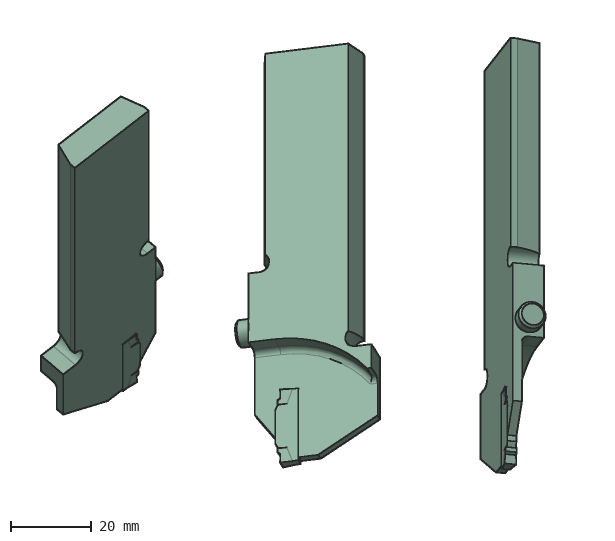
import cadquery as cq
import math

holder_thick = 8.0
total_height = 110.8
foot_depth = 31.7
foot_front_top = 26.9
foot_back_top = 50.6
foot_bottom = 1.0
front_slope_top = 9.9
front_slope_end = 15.3
back_slope_top = 14.3
back_slope_end = 21.9

shank_front = 4.0
shank_back = 29.4
flank_inset = 2.0
flank_width = 6.3

relief_radius = 2.5
front_relief_y = 4.2
back_relief_y = 28.9

blade_thick = 2.3
blade_face = holder_thick - blade_thick
shoulder_top = 31.6
shoulder_radius = 31.0
shoulder_tangent_y = 25.0
shoulder_front_z = 20.4
shoulder_fillet = 1.5

screw_diameter = 7.0
screw_end = 35.5
screw_x = 3.9
screw_z = 36.1
screw_chamfer = 0.7
screw_embed = 1.1

insert_height = 20.3
insert_front = 20.4
insert_tip = 25.0
insert_step = 25.7
insert_back = 26.4
tip_relief = 0.2
tip_land = 2.4
step_start = 3.0
head_height = 4.1
body_start = 5.5
head_inner_y = 23.4
head_outer_y = 21.9
insert_x = blade_face + blade_thick / 2
head_half_width = 8.3 - insert_x
margin = 5.5
select_gap = 0.1


def yz_prism(outline, x_start, x_end):
    """Extrude a closed sketch in the YZ plane between two X positions."""
    return outline.extrude(x_end - x_start).translate((x_start, 0, 0))


def yz_polygon(points):
    return cq.Workplane("YZ").polyline(points).close()


def make_shank():
    points = [
        (0, shank_front + flank_inset),
        (flank_width, shank_front),
        (holder_thick, shank_front),
        (holder_thick, shank_back),
        (flank_width, shank_back),
        (0, shank_back - flank_inset),
    ]
    shank = cq.Workplane("XY").workplane(offset=foot_front_top).polyline(points).close()
    return shank.extrude(total_height - foot_front_top)


def make_foot():
    points = [
        (0, foot_front_top + relief_radius),
        (0, front_slope_top),
        (front_slope_end, foot_bottom),
        (back_slope_end, foot_bottom),
        (foot_depth, back_slope_top),
        (foot_depth, foot_back_top + relief_radius),
        (back_relief_y - relief_radius, foot_back_top + relief_radius),
        (front_relief_y + relief_radius, foot_front_top + relief_radius),
    ]
    return yz_prism(yz_polygon(points), 0, holder_thick)


def make_relief(round_y, floor_z, direction):
    """Slot with a round inner end, open toward the given Y direction."""
    center_z = floor_z + relief_radius
    top_z = floor_z + 2 * relief_radius
    open_y = round_y + direction * (relief_radius + margin)
    outline = (
        cq.Workplane("YZ")
        .moveTo(open_y, floor_z)
        .lineTo(round_y, floor_z)
        .threePointArc((round_y - direction * relief_radius, center_z), (round_y, top_z))
        .lineTo(open_y, top_z)
        .close()
    )
    return yz_prism(outline, -margin, holder_thick + margin)


def make_blade_step():
    """Material removed beside the blade, with its inner shoulder edge rounded."""
    center_z = shoulder_top - shoulder_radius
    end_angle = math.asin((shoulder_front_z - center_z) / shoulder_radius)
    mid_angle = (end_angle + math.pi / 2) / 2

    def on_arc(angle):
        return (
            shoulder_tangent_y - shoulder_radius * math.cos(angle),
            center_z + shoulder_radius * math.sin(angle),
        )

    outline = (
        cq.Workplane("YZ")
        .moveTo(-margin, -margin)
        .lineTo(-margin, shoulder_front_z)
        .lineTo(*on_arc(end_angle))
        .threePointArc(on_arc(mid_angle), (shoulder_tangent_y, shoulder_top))
        .lineTo(foot_depth + margin, shoulder_top)
        .lineTo(foot_depth + margin, -margin)
        .close()
    )
    step = yz_prism(outline, -margin, blade_face)
    shoulder_edges = cq.selectors.BoxSelector(
        (blade_face - select_gap, -margin + select_gap, 0),
        (blade_face + select_gap, foot_depth + margin - select_gap, total_height),
    )
    return step.edges(shoulder_edges).fillet(shoulder_fillet)


def make_screw_stub():
    stub = (
        cq.Workplane("XZ", origin=(screw_x, screw_end, screw_z))
        .circle(screw_diameter / 2)
        .extrude(screw_end - foot_depth + screw_embed)
    )
    return stub.faces(">Y").chamfer(screw_chamfer)


def make_insert_profile(half_width):
    lower = [
        (insert_front, tip_relief),
        (insert_tip, 0),
        (insert_tip, tip_land),
        (insert_step, step_start),
        (insert_step, head_height),
        (insert_back, body_start),
    ]
    upper = [(y, insert_height - z) for y, z in reversed(lower)]
    return yz_prism(yz_polygon(lower + upper), insert_x - half_width, insert_x + half_width)


def make_lower_head():
    """Cutting head whose two cheeks widen from an oblique line toward the tip."""
    slope_y = head_inner_y - head_outer_y
    length = math.hypot(slope_y, head_height)
    across = (0, head_height / length, -slope_y / length)
    along = (0, slope_y / length, head_height / length)
    reach = (insert_tip - head_outer_y) * across[1]
    wedge_plane = cq.Plane(origin=(insert_x, head_outer_y, 0), xDir=across, normal=along)
    half_blade = blade_thick / 2
    wedge = (
        cq.Workplane(wedge_plane)
        .polyline([
            (0, -half_blade),
            (reach, -head_half_width),
            (reach + margin, -head_half_width),
            (reach + margin, head_half_width),
            (reach, head_half_width),
            (0, half_blade),
        ])
        .close()
        .extrude(2 * (length + margin), both=True)
    )
    band = cq.Workplane("XY").box(2 * total_height, 2 * total_height, head_height, centered=(True, True, False))
    return make_insert_profile(head_half_width).intersect(band).intersect(wedge)


def make_insert():
    lower_head = make_lower_head()
    upper_head = lower_head.mirror("XY", (0, 0, insert_height / 2))
    return make_insert_profile(blade_thick / 2).union(lower_head).union(upper_head)


def make_holder():
    holder = make_shank().union(make_foot())
    holder = holder.cut(make_relief(front_relief_y, foot_front_top, -1))
    holder = holder.cut(make_relief(back_relief_y, foot_back_top, 1))
    holder = holder.cut(make_blade_step())
    holder = holder.union(make_screw_stub())
    return holder.cut(make_insert_profile(holder_thick))


holder = make_holder()
insert = make_insert()
result = cq.Compound.makeCompound([holder.solids().val(), insert.solids().val()])